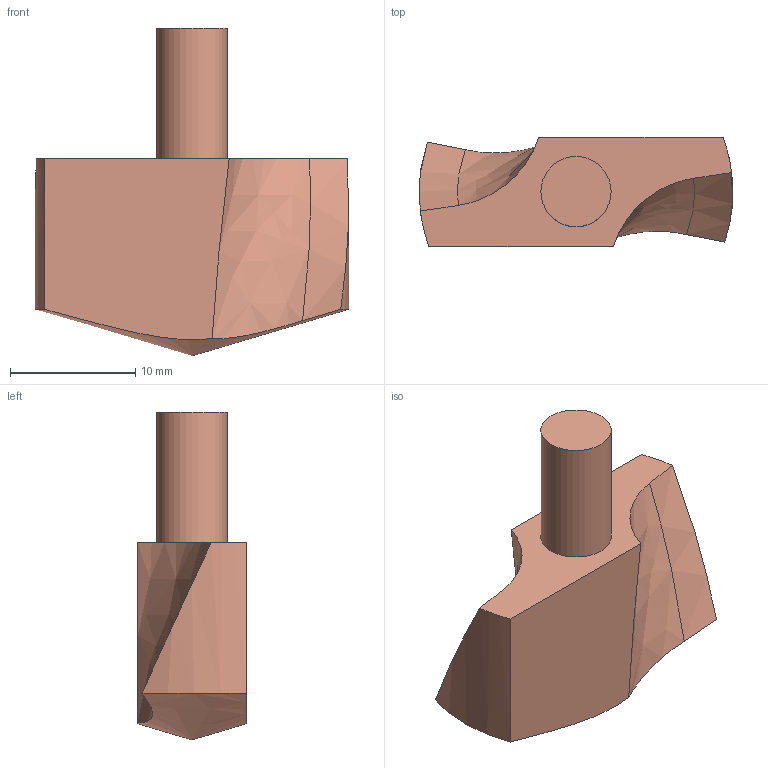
import cadquery as cq
import math

HEAD_DIAMETER = 25.0
HEAD_RADIUS = HEAD_DIAMETER / 2
HEAD_THICKNESS = 8.67
TOTAL_LENGTH = 26.1
SHANK_DIAMETER = 5.6
SHANK_LENGTH = 10.4
RIM_HEIGHT = 12.0
HEAD_HEIGHT = TOTAL_LENGTH - SHANK_LENGTH
TIP_HEIGHT = HEAD_HEIGHT - RIM_HEIGHT

FLUTE_COUNT = 2
HELIX_ANGLE = 25.0
FLUTE_ROOT_RADIUS = 8.0
FLUTE_FACE_START = (9.38, 1.08)
FLUTE_FACE_SLOPE = 8.5
OVERCUT = 1.0
TWIST_PER_MM = math.degrees(math.tan(math.radians(HELIX_ANGLE)) / HEAD_RADIUS)


def make_head():
    """Pointed round head, trimmed to a flat slab."""
    profile = [(0, 0), (HEAD_RADIUS, TIP_HEIGHT), (HEAD_RADIUS, HEAD_HEIGHT), (0, HEAD_HEIGHT)]
    round_head = cq.Workplane("XZ").polyline(profile).close().revolve(360, (0, 0), (0, 1))
    slab = cq.Workplane("XY").box(HEAD_DIAMETER, HEAD_THICKNESS, HEAD_HEIGHT, centered=(True, True, False))
    return round_head.intersect(slab)


def make_flute(start_angle):
    """Helical cutter: a straight face running tangentially into a concave root."""
    slope = math.radians(FLUTE_FACE_SLOPE)
    start_x, start_y = FLUTE_FACE_START
    center_x = start_x + FLUTE_ROOT_RADIUS * math.sin(slope)
    center_y = start_y - FLUTE_ROOT_RADIUS * math.cos(slope)

    root_end = (center_x - FLUTE_ROOT_RADIUS, center_y)
    middle_angle = (math.pi / 2 + slope + math.pi) / 2
    root_middle = (
        center_x + FLUTE_ROOT_RADIUS * math.cos(middle_angle),
        center_y + FLUTE_ROOT_RADIUS * math.sin(middle_angle),
    )

    outer_x = HEAD_RADIUS + OVERCUT
    outer_y = start_y + (outer_x - start_x) * math.tan(slope)
    lower_y = -HEAD_RADIUS

    cutter_height = HEAD_HEIGHT + 2 * OVERCUT
    bottom_angle = start_angle - TWIST_PER_MM * (HEAD_HEIGHT + OVERCUT)
    return (
        cq.Workplane("XY", origin=(0, 0, -OVERCUT))
        .transformed(rotate=(0, 0, bottom_angle))
        .moveTo(outer_x, outer_y)
        .lineTo(start_x, start_y)
        .threePointArc(root_middle, root_end)
        .lineTo(root_end[0], lower_y)
        .lineTo(outer_x, lower_y)
        .close()
        .twistExtrude(cutter_height, TWIST_PER_MM * cutter_height)
    )


def make_shank():
    """Plain round shank standing on the head."""
    return (
        cq.Workplane("XY", origin=(0, 0, HEAD_HEIGHT))
        .circle(SHANK_DIAMETER / 2)
        .extrude(SHANK_LENGTH)
    )


head = make_head()
for index in range(FLUTE_COUNT):
    head = head.cut(make_flute(index * 360 / FLUTE_COUNT))

result = head.union(make_shank())